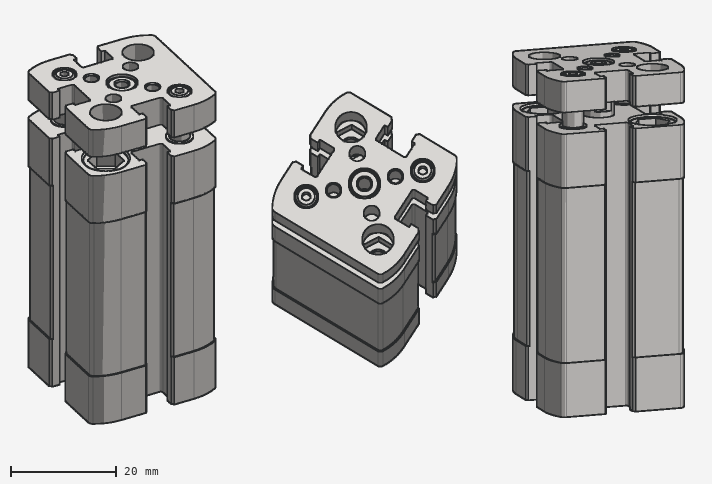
import cadquery as cq
import math

WIDTH = 27.5
HALF = WIDTH / 2
FLAT_HALF = 7.9
SIDE_ARC_RADIUS = 10.86
CORNER_FILLET = 1.0

HOUSING_HEIGHT = 55.0
CAP_HEIGHT = 10.5
PROFILE_INSET = 0.25
STROKE_GAP = 4.2
PLATE_THICKNESS = 6.0
PLATE_BOTTOM = HOUSING_HEIGHT + STROKE_GAP
PLATE_TOP = PLATE_BOTTOM + PLATE_THICKNESS

SLOT_MOUTH_WIDTH = 5.3
SLOT_CHANNEL_WIDTH = 6.75
SLOT_LIP_DEPTH = 2.05
SLOT_DEPTH = 5.4
SLOT_OFFSET = 0.55
SLOT_EDGE_FILLET = 0.4
SLOT_FLOOR_FILLET = 0.4
SLOTS = [
    (0, -SLOT_OFFSET),
    (90, SLOT_OFFSET),
    (-90, SLOT_OFFSET),
]

GUIDE_PITCH = 8.0
GUIDE_POINTS = [(-GUIDE_PITCH, -GUIDE_PITCH), (GUIDE_PITCH, GUIDE_PITCH)]
SCREW_POINTS = [(-GUIDE_PITCH, GUIDE_PITCH), (GUIDE_PITCH, -GUIDE_PITCH)]
TOOL_PITCH = 4.25
THREAD_POINTS = [(-TOOL_PITCH, -TOOL_PITCH), (TOOL_PITCH, TOOL_PITCH)]
PIN_POINTS = [(-TOOL_PITCH, TOOL_PITCH), (TOOL_PITCH, -TOOL_PITCH)]

PISTON_ROD_DIAMETER = 6.0
ROD_FLATS_WIDTH = 5.0
ROD_FLATS_HEIGHT = 3.1
GUIDE_ROD_DIAMETER = 4.0
ROD_INSERTION = CAP_HEIGHT
PISTON_RECESS_DEPTH = 0.6
PISTON_END_RECESS = 0.3
PISTON_NECK_DIAMETER = 5.5
PISTON_END_DIAMETER = 5.0
GUIDE_END_DIAMETER = 3.24
GUIDE_MOUTH_DIAMETER = 4.6
CENTRE_HOLE_DIAMETER = 1.65
CENTRE_HOLE_DEPTH = 1.5
ROD_THREAD_DIAMETER = 2.46
ROD_THREAD_MOUTH = 3.0
ROD_THREAD_DEPTH = 8.0

ACCESS_HOLE_DIAMETER = 6.0
PIN_HOLE_DIAMETER = 3.0
THREAD_CORE_DIAMETER = 2.5
THREAD_MOUTH_DIAMETER = 3.0

WIPER_DIAMETER = 5.2
WIPER_HEIGHT = 0.2

SEAT_MOUTH_DIAMETER = 9.2
SEAT_DIAMETER = 8.5
SEAT_DEPTH = 0.45
HEX_ACROSS_FLATS = 6.0
HEX_DEPTH = 3.6
SCREW_BORE_MOUTH = 3.8
SCREW_BORE_DIAMETER = 3.24


def cylinder(diameter, bottom, top, points=((0, 0),)):
    return (
        cq.Workplane("XY", origin=(0, 0, bottom))
        .pushPoints(list(points))
        .circle(diameter / 2)
        .extrude(top - bottom)
    )


def countersink(top_diameter, bottom_diameter, top, points):
    """45 degree cone, wide end at height top."""
    depth = (top_diameter - bottom_diameter) / 2
    cone = cq.Solid.makeCone(bottom_diameter / 2, top_diameter / 2, depth)
    return cq.Workplane("XY").pushPoints(points).eachpoint(
        lambda place: cone.translate((0, 0, top - depth)).moved(place)
    )


def rod_end(diameter, end_diameter, bottom, top, points):
    """Rod stub whose top edge has a 45 degree chamfer."""
    chamfer = (diameter - end_diameter) / 2
    cone = cq.Solid.makeCone(diameter / 2, end_diameter / 2, chamfer)
    tips = cq.Workplane("XY").pushPoints(points).eachpoint(
        lambda place: cone.translate((0, 0, top - chamfer)).moved(place)
    )
    if top - chamfer > bottom:
        tips = tips.union(cylinder(diameter, bottom, top - chamfer, points))
    return tips


def corner_x():
    """X where the side arc meets the flat +Y or -Y face."""
    rise = HALF - FLAT_HALF
    return HALF - SIDE_ARC_RADIUS + (SIDE_ARC_RADIUS**2 - rise**2) ** 0.5


def block(bottom, height, inset=0.0):
    """Block with flat sides, arcs toward the corners and small corner fillets."""
    x = corner_x()
    outline = (
        cq.Workplane("XY", origin=(0, 0, bottom))
        .moveTo(-x, -HALF)
        .lineTo(x, -HALF)
        .radiusArc((HALF, -FLAT_HALF), -SIDE_ARC_RADIUS)
        .lineTo(HALF, FLAT_HALF)
        .radiusArc((x, HALF), -SIDE_ARC_RADIUS)
        .lineTo(-x, HALF)
        .radiusArc((-HALF, FLAT_HALF), -SIDE_ARC_RADIUS)
        .lineTo(-HALF, -FLAT_HALF)
        .radiusArc((-x, -HALF), -SIDE_ARC_RADIUS)
        .close()
    )
    if inset:
        outline = outline.offset2D(-inset)
    solid = outline.extrude(height)
    return solid.faces(">Y or <Y").edges("|Z").fillet(CORNER_FILLET)


def slot_cutter(bottom, height, face):
    """One T slot opening to -Y at distance face, with rounded mouth edges and floor corners."""
    channel_depth = SLOT_DEPTH - SLOT_LIP_DEPTH
    channel_y = -HALF + SLOT_LIP_DEPTH + channel_depth / 2
    mouth = SLOT_MOUTH_WIDTH / 2
    rounded = mouth + SLOT_EDGE_FILLET
    plane = cq.Workplane("XY", origin=(0, 0, bottom))
    opening = (
        plane.moveTo(-rounded, -face)
        .radiusArc((-mouth, -face + SLOT_EDGE_FILLET), SLOT_EDGE_FILLET)
        .lineTo(-mouth, -HALF + SLOT_LIP_DEPTH)
        .lineTo(mouth, -HALF + SLOT_LIP_DEPTH)
        .lineTo(mouth, -face + SLOT_EDGE_FILLET)
        .radiusArc((rounded, -face), SLOT_EDGE_FILLET)
        .close()
        .extrude(height)
    )
    channel = plane.center(0, channel_y).rect(SLOT_CHANNEL_WIDTH, channel_depth).extrude(height)
    channel = channel.faces(">Y").edges("|Z").fillet(SLOT_FLOOR_FILLET)
    return opening.union(channel)


def slotted_block(bottom, height, inset=0.0):
    solid = block(bottom, height, inset)
    for turn, shift in SLOTS:
        cutter = slot_cutter(bottom, height, HALF - inset).translate((shift, 0, 0))
        solid = solid.cut(cutter.rotate((0, 0, 0), (0, 0, 1), turn))
    return solid


def hex_sockets(bottom, top):
    """Hexagonal sockets of the mounting screws, with two corners along X."""
    across_corners = HEX_ACROSS_FLATS / math.cos(math.pi / 6)
    return (
        cq.Workplane("XY", origin=(0, 0, bottom))
        .pushPoints(SCREW_POINTS)
        .polygon(6, across_corners)
        .extrude(top - bottom)
    )


def make_housing():
    profile_height = HOUSING_HEIGHT - 2 * CAP_HEIGHT
    housing = slotted_block(0, CAP_HEIGHT)
    housing = housing.union(slotted_block(CAP_HEIGHT, profile_height, PROFILE_INSET))
    housing = housing.union(slotted_block(HOUSING_HEIGHT - CAP_HEIGHT, CAP_HEIGHT))

    wiper_top = HOUSING_HEIGHT + WIPER_HEIGHT
    housing = housing.union(cylinder(WIPER_DIAMETER, HOUSING_HEIGHT, wiper_top, GUIDE_POINTS))

    rod_bottom = HOUSING_HEIGHT - ROD_INSERTION
    housing = housing.cut(cylinder(GUIDE_ROD_DIAMETER, rod_bottom, wiper_top, GUIDE_POINTS))
    housing = housing.cut(cylinder(PISTON_ROD_DIAMETER, rod_bottom, HOUSING_HEIGHT))

    seat_floor = HOUSING_HEIGHT - SEAT_DEPTH
    housing = housing.cut(cylinder(SEAT_DIAMETER, seat_floor, HOUSING_HEIGHT, SCREW_POINTS))
    housing = housing.cut(countersink(SEAT_MOUTH_DIAMETER, SEAT_DIAMETER, HOUSING_HEIGHT, SCREW_POINTS))
    bore_top = HOUSING_HEIGHT - HEX_DEPTH
    housing = housing.cut(hex_sockets(bore_top, seat_floor))
    housing = housing.cut(cylinder(SCREW_BORE_DIAMETER, 0, bore_top, SCREW_POINTS))
    return housing.cut(countersink(SCREW_BORE_MOUTH, SCREW_BORE_DIAMETER, bore_top, SCREW_POINTS))


def make_piston_rod():
    bottom = HOUSING_HEIGHT - ROD_INSERTION
    rod = cylinder(PISTON_ROD_DIAMETER, bottom, PLATE_BOTTOM)
    flats = (
        cq.Workplane("XY", origin=(0, 0, PLATE_BOTTOM - ROD_FLATS_HEIGHT))
        .rect(2 * PISTON_ROD_DIAMETER, 2 * PISTON_ROD_DIAMETER)
        .rect(2 * PISTON_ROD_DIAMETER, ROD_FLATS_WIDTH)
        .extrude(ROD_FLATS_HEIGHT)
    )
    return rod.cut(flats)


def make_yoke():
    yoke = slotted_block(PLATE_BOTTOM, PLATE_THICKNESS)
    yoke = yoke.union(make_piston_rod())
    rod_bottom = HOUSING_HEIGHT - ROD_INSERTION
    yoke = yoke.union(cylinder(GUIDE_ROD_DIAMETER, rod_bottom, PLATE_BOTTOM, GUIDE_POINTS))

    yoke = yoke.cut(cylinder(ACCESS_HOLE_DIAMETER, PLATE_BOTTOM, PLATE_TOP, SCREW_POINTS))
    yoke = yoke.cut(cylinder(PIN_HOLE_DIAMETER, PLATE_BOTTOM, PLATE_TOP, PIN_POINTS))
    yoke = yoke.cut(cylinder(THREAD_CORE_DIAMETER, PLATE_BOTTOM, PLATE_TOP, THREAD_POINTS))
    yoke = yoke.cut(countersink(THREAD_MOUTH_DIAMETER, THREAD_CORE_DIAMETER, PLATE_TOP, THREAD_POINTS))

    recess_floor = PLATE_TOP - PISTON_RECESS_DEPTH
    piston_end = PLATE_TOP - PISTON_END_RECESS
    yoke = yoke.cut(cylinder(PISTON_ROD_DIAMETER, recess_floor, PLATE_TOP))
    yoke = yoke.union(rod_end(PISTON_NECK_DIAMETER, PISTON_END_DIAMETER, recess_floor, piston_end, [(0, 0)]))

    thread_bottom = piston_end - ROD_THREAD_DEPTH
    yoke = yoke.cut(cylinder(ROD_THREAD_DIAMETER, thread_bottom, piston_end))
    yoke = yoke.cut(countersink(ROD_THREAD_DIAMETER, 0, thread_bottom, [(0, 0)]))
    yoke = yoke.cut(countersink(ROD_THREAD_MOUTH, ROD_THREAD_DIAMETER, piston_end, [(0, 0)]))

    end_recess_floor = PLATE_TOP - (GUIDE_ROD_DIAMETER - GUIDE_END_DIAMETER) / 2
    yoke = yoke.cut(cylinder(GUIDE_MOUTH_DIAMETER, end_recess_floor, PLATE_TOP, GUIDE_POINTS))
    guide_ends = rod_end(GUIDE_ROD_DIAMETER, GUIDE_END_DIAMETER, end_recess_floor, PLATE_TOP, GUIDE_POINTS)
    yoke = yoke.union(guide_ends)
    centre_bottom = PLATE_TOP - CENTRE_HOLE_DEPTH
    return yoke.cut(cylinder(CENTRE_HOLE_DIAMETER, centre_bottom, PLATE_TOP, GUIDE_POINTS))


housing = make_housing()
yoke = make_yoke()
result = cq.Compound.makeCompound([housing.val(), yoke.val()])